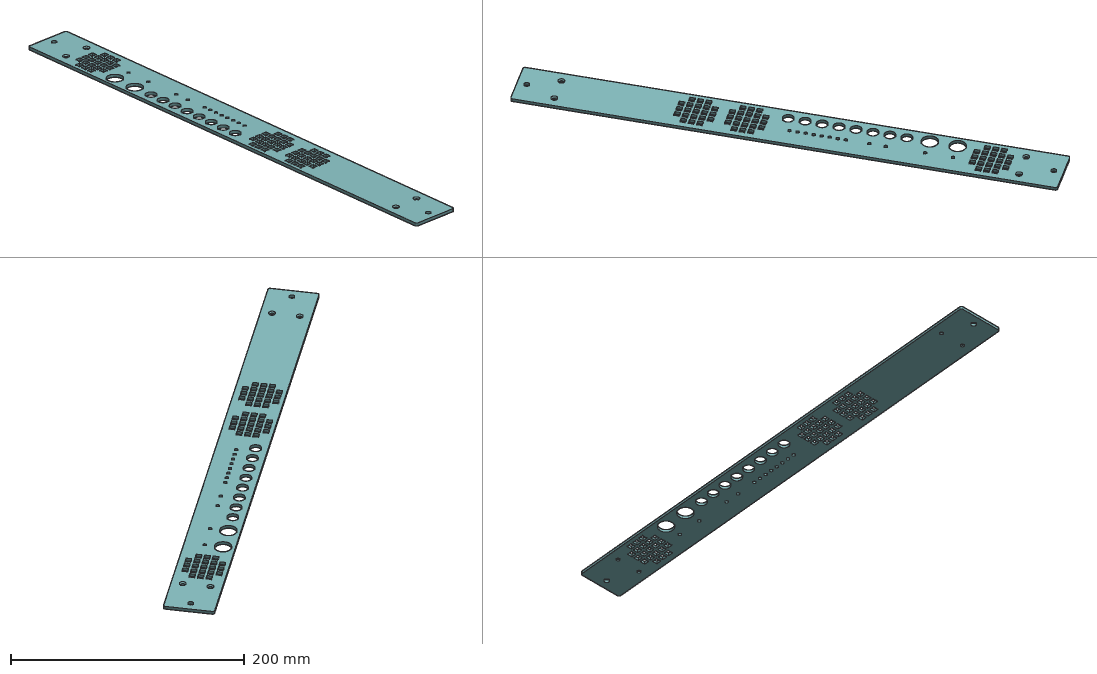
import cadquery as cq

panel_length = 483.0
panel_width = 44.5
panel_thickness = 3.0
corner_radius = 2.0

mount_hole_x = 233.0
mount_hole_diameter = 5.0

screw_x = 205.5
screw_y = 12.0
screw_hole_diameter = 3.5
countersink_diameter = 6.0
countersink_angle = 90.0

grille_centres_x = [-177.5, 38.5, 83.5]
grille_centre_y = -1.0
grille_count = 5
grille_hole_side = 5.0
grille_web = 2.55
grille_pitch = grille_hole_side + grille_web

connector_y = -11.5
large_connector_x = [-145.0, -120.5]
large_connector_diameter = 15.0
small_connector_start_x = -100.0
small_connector_end_x = 5.0
small_connector_count = 8
small_connector_diameter = 10.0

indicator_y = 4.5
separate_indicator_x = large_connector_x + [-85.5, -71.0]
indicator_run_start_x = -50.0
indicator_run_end_x = -0.5
indicator_run_count = 8
indicator_diameter = 3.0


def evenly_spaced(start, end, count):
    """Return count positions spread evenly from start to end."""
    pitch = (end - start) / (count - 1)
    return [start + i * pitch for i in range(count)]


def row(xs, y):
    """Return the points of a straight row of holes sharing one Y position."""
    return [(x, y) for x in xs]


def grille_points(centre_x):
    """Return the hole centres of one grille, leaving out the corners."""
    half_span = grille_pitch * (grille_count - 1) / 2
    ends = (0, grille_count - 1)
    columns = evenly_spaced(centre_x - half_span, centre_x + half_span, grille_count)
    rows = evenly_spaced(grille_centre_y - half_span, grille_centre_y + half_span, grille_count)
    return [
        (x, y)
        for i, x in enumerate(columns)
        for j, y in enumerate(rows)
        if not (i in ends and j in ends)
    ]


def drill(panel, points, diameter):
    """Cut plain through holes from the top face."""
    return panel.faces(">Z").workplane(origin=(0, 0, 0)).pushPoints(points).hole(diameter)


def cut_grille(panel, centre_x):
    """Cut the square through holes of one grille."""
    cutters = (
        cq.Workplane("XY")
        .pushPoints(grille_points(centre_x))
        .rect(grille_hole_side, grille_hole_side)
        .extrude(panel_thickness)
    )
    return panel.cut(cutters)


def make_blank():
    """Flat panel with rounded corners."""
    blank = cq.Workplane("XY").box(
        panel_length, panel_width, panel_thickness, centered=(True, True, False)
    )
    return blank.edges("|Z").fillet(corner_radius)


def add_countersunk_screws(panel):
    """Cut the four screw holes, countersunk from the top face."""
    points = [(x, y) for x in (-screw_x, screw_x) for y in (-screw_y, screw_y)]
    top = panel.faces(">Z").workplane(origin=(0, 0, 0))
    return top.pushPoints(points).cskHole(screw_hole_diameter, countersink_diameter, countersink_angle)


small_connector_x = evenly_spaced(
    small_connector_start_x, small_connector_end_x, small_connector_count
)
indicator_x = separate_indicator_x + evenly_spaced(
    indicator_run_start_x, indicator_run_end_x, indicator_run_count
)

result = make_blank()
result = drill(result, row([-mount_hole_x, mount_hole_x], 0), mount_hole_diameter)
result = add_countersunk_screws(result)
for grille_x in grille_centres_x:
    result = cut_grille(result, grille_x)
result = drill(result, row(large_connector_x, connector_y), large_connector_diameter)
result = drill(result, row(small_connector_x, connector_y), small_connector_diameter)
result = drill(result, row(indicator_x, indicator_y), indicator_diameter)